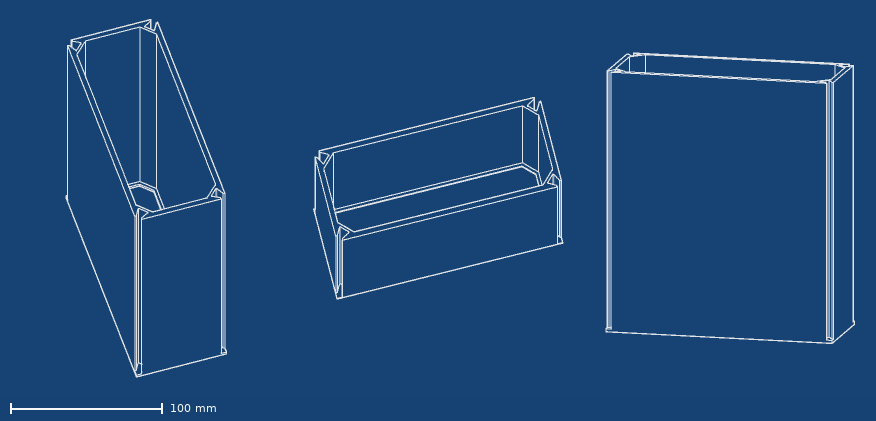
import cadquery as cq
import math

length = 153.3
width = 62.3
height = 175.0

wall = 3.7
bevel_leg = 8.8
base_height = 2.1
lip = 2.1

mouth_leg = 3.5
neck_width = 4.0
neck_distance = 3.7
slot_floor_width = 6.8
slot_side_depth = 0.9
web_thickness = 1.8


def bevelled_opening(margin, leg, depth):
    """Prism inset from the outer faces, with 45 degree bevelled corners."""
    block = cq.Workplane("XY").rect(length - 2 * margin, width - 2 * margin).extrude(depth)
    return block.edges("|Z").chamfer(leg)


def slot_edge(distance, slot_width):
    """Far and near offsets from the outer faces of one side of the slot.

    The distance runs along the diagonal from the outer corner.
    """
    far = (distance + slot_width / 2) / math.sqrt(2)
    near = (distance - slot_width / 2) / math.sqrt(2)
    return far, near


def corner_slot(side_x, side_y):
    """Cutter above the base that narrows to a neck, then widens toward the inside."""
    bevel_distance = (2 * wall + bevel_leg) / math.sqrt(2)
    floor_distance = bevel_distance - web_thickness
    one_side = [
        (mouth_leg, 0),
        slot_edge(neck_distance, neck_width),
        slot_edge(floor_distance - slot_side_depth, slot_floor_width),
        slot_edge(floor_distance, slot_floor_width),
    ]
    other_side = [(y, x) for x, y in reversed(one_side)]
    outline = [(0, 0)] + one_side + other_side
    points = [(side_x * (length / 2 - x), side_y * (width / 2 - y)) for x, y in outline]
    slot = cq.Workplane("XY").workplane(offset=base_height).polyline(points).close()
    return slot.extrude(height - base_height)


lip_bevel_leg = bevel_leg - lip * (2 - math.sqrt(2))
base_opening = bevelled_opening(wall + lip, lip_bevel_leg, height)
tube_opening = bevelled_opening(wall, bevel_leg, height - base_height)

result = cq.Workplane("XY").box(length, width, height, centered=(True, True, False))
result = result.cut(base_opening)
result = result.cut(tube_opening.translate((0, 0, base_height)))

for side_x in (-1, 1):
    for side_y in (-1, 1):
        result = result.cut(corner_slot(side_x, side_y))